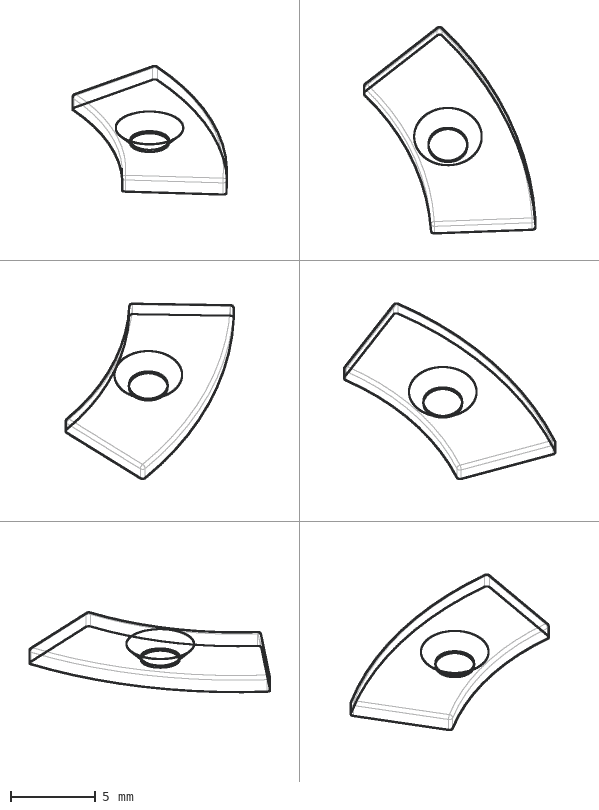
import cadquery as cq
import math

outer_radius = 21.7
inner_radius = 15.5
half_angle = 20.0
thickness = 1.0
edge_radius = 0.2

hole_center_radius = 17.84
hole_diameter = 2.3
countersink_diameter = 4.0
countersink_angle = 90.0


def polar_point(radius, angle_from_y):
    """Point at a radius from the arc center, at an angle in degrees from +Y."""
    angle = math.radians(angle_from_y)
    return (radius * math.sin(angle), radius * math.cos(angle))


def segment_plate():
    """Flat ring segment, symmetric about Y, with its base at Z = 0."""
    return (
        cq.Workplane("XY")
        .moveTo(*polar_point(inner_radius, -half_angle))
        .lineTo(*polar_point(outer_radius, -half_angle))
        .threePointArc((0, outer_radius), polar_point(outer_radius, half_angle))
        .lineTo(*polar_point(inner_radius, half_angle))
        .threePointArc((0, inner_radius), polar_point(inner_radius, -half_angle))
        .close()
        .extrude(thickness)
    )


plate = segment_plate().edges("|Z").fillet(edge_radius)
plate = plate.faces(">Z").edges().fillet(edge_radius)

result = (
    plate.faces(">Z")
    .workplane(origin=(0, hole_center_radius, thickness))
    .cskHole(hole_diameter, countersink_diameter, countersink_angle)
)